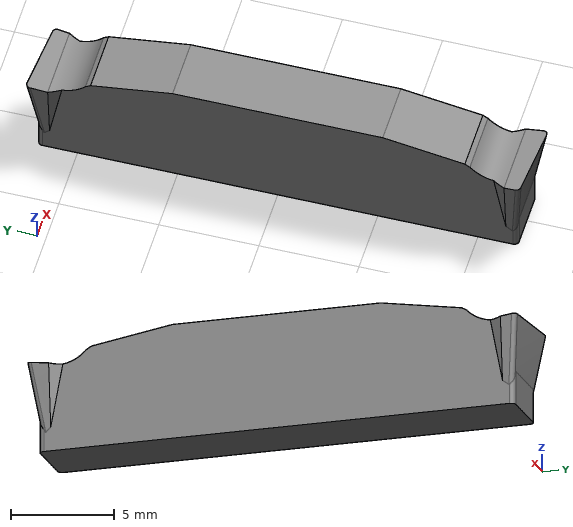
import cadquery as cq

length = 25.0
body_width = 3.25
body_length = 24.0
height = 5.8
corner_radius = 0.25

flat_half = 5.25
slope_half = 9.35
slope_height = 5.12
groove_inner_half = 9.6
groove_inner_height = 4.98
groove_mid_half = 10.4
groove_mid_height = 4.45
rake_half = 11.4
rake_height = 4.38
tip_height = 4.5

head_half_width = 2.0
edge_skew = 0.3
seat_height = 1.68
seat_half_width = 1.7
root_height = 0.88
envelope_margin = 0.25
corner_size = 0.22
flank_relief = 0.02
neck_run = 1.38
neck_inset = 0.75
arc_inset = 0.29


def make_body():
    blank = cq.Workplane("XY").rect(body_width, body_length).extrude(height)
    return blank.edges("|Z").fillet(corner_radius)


def side_envelope():
    """Side outline of the whole part, with the chip grooves in its top."""
    tip = length / 2
    return (
        cq.Workplane("YZ")
        .moveTo(-tip, 0)
        .lineTo(tip, 0)
        .lineTo(tip, tip_height)
        .lineTo(rake_half, rake_height)
        .threePointArc((groove_mid_half, groove_mid_height), (groove_inner_half, groove_inner_height))
        .lineTo(slope_half, slope_height)
        .lineTo(flat_half, height)
        .lineTo(-flat_half, height)
        .lineTo(-slope_half, slope_height)
        .lineTo(-groove_inner_half, groove_inner_height)
        .threePointArc((-groove_mid_half, groove_mid_height), (-rake_half, rake_height))
        .lineTo(-tip, tip_height)
        .close()
        .extrude(head_half_width + envelope_margin, both=True)
    )


def at_height(edge_value, seat_value, z):
    """Straight taper through the edge and seat values, carried on below the seat."""
    return edge_value + (seat_value - edge_value) * (tip_height - z) / (tip_height - seat_height)


def head_section(z):
    half_width = at_height(head_half_width, seat_half_width, z)
    long_y = at_height(length / 2, body_length / 2, z)
    short_y = at_height(length / 2 - edge_skew, body_length / 2, z)
    front_x = half_width - corner_size
    rear_x = half_width - flank_relief
    neck_x = rear_x - neck_inset
    neck_y = rake_half - neck_run
    arc_x = half_width - arc_inset * corner_size
    arc_drop = arc_inset * corner_size
    return (
        cq.Workplane("XY", origin=(0, 0, z))
        .moveTo(-front_x, long_y)
        .lineTo(front_x, short_y)
        .threePointArc((arc_x, short_y - arc_drop), (half_width, short_y - corner_size))
        .lineTo(rear_x, rake_half)
        .lineTo(neck_x, neck_y)
        .lineTo(-neck_x, neck_y)
        .lineTo(-rear_x, rake_half)
        .lineTo(-half_width, long_y - corner_size)
        .threePointArc((-arc_x, long_y - arc_drop), (-front_x, long_y))
        .close()
        .val()
    )


def make_head():
    sections = [head_section(tip_height), head_section(root_height)]
    return cq.Workplane(cq.Solid.makeLoft(sections, True))


head = make_head()
opposite_head = head.rotate((0, 0, 0), (0, 0, 1), 180)
result = make_body().union(head).union(opposite_head).intersect(side_envelope())